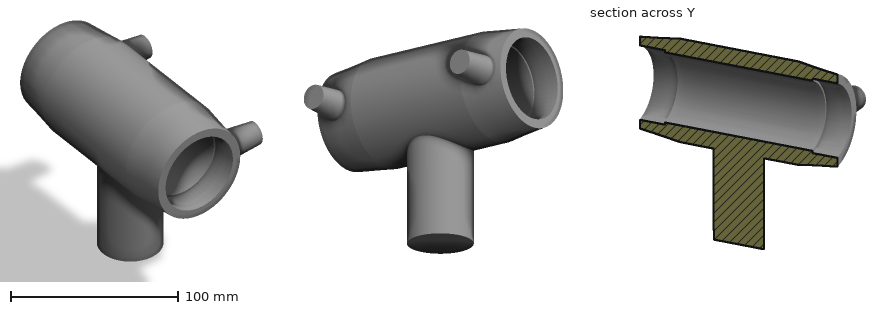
import cadquery as cq
import math

SLEEVE_LENGTH = 139.0
SLEEVE_DIAMETER = 68.0
SLEEVE_END_DIAMETER = 61.0
END_TAPER_LENGTH = 28.0

SOCKET_DIAMETER = 50.0
SOCKET_DEPTH = 17.5
MIDDLE_BORE_DIAMETER = 47.5

BRANCH_DIAMETER = 40.0
BRANCH_REACH = 90.0

POST_TIP_DIAMETER = 15.0
POST_TAPER_ANGLE = 5.0
POST_REACH = 52.0
POST_END_DISTANCE = 14.0

HALF_LENGTH = SLEEVE_LENGTH / 2
SLEEVE_RADIUS = SLEEVE_DIAMETER / 2
ROOT_DISTANCE = (SLEEVE_RADIUS + SOCKET_DIAMETER / 2) / 2


def x_cylinder(diameter, start, length):
    """Solid cylinder on the X axis, running toward +X from start."""
    return cq.Workplane("YZ", origin=(start, 0, 0)).circle(diameter / 2).extrude(length)


def sleeve_body():
    """Solid sleeve with a cone at each end."""
    end_radius = SLEEVE_END_DIAMETER / 2
    taper_start = HALF_LENGTH - END_TAPER_LENGTH
    profile = [
        (-HALF_LENGTH, 0),
        (-HALF_LENGTH, end_radius),
        (-taper_start, SLEEVE_RADIUS),
        (taper_start, SLEEVE_RADIUS),
        (HALF_LENGTH, end_radius),
        (HALF_LENGTH, 0),
    ]
    return cq.Workplane("XY").polyline(profile).close().revolve(360, (0, 0, 0), (1, 0, 0))


def branch():
    """Stem along -Z that starts on the sleeve axis."""
    return cq.Workplane("XY").circle(BRANCH_DIAMETER / 2).extrude(-BRANCH_REACH)


def terminal_post(x):
    """Post along +Y at the given X, widening from its tip to its root."""
    length = POST_REACH - ROOT_DISTANCE
    tip_radius = POST_TIP_DIAMETER / 2
    root_radius = tip_radius + length * math.tan(math.radians(POST_TAPER_ANGLE))
    cone = cq.Solid.makeCone(
        root_radius, tip_radius, length, cq.Vector(x, ROOT_DISTANCE, 0), cq.Vector(0, 1, 0)
    )
    return cq.Workplane(cone)


def stepped_bore():
    """Through bore with a socket at each end."""
    bore = x_cylinder(MIDDLE_BORE_DIAMETER, -HALF_LENGTH, SLEEVE_LENGTH)
    for socket_start in (-HALF_LENGTH, HALF_LENGTH - SOCKET_DEPTH):
        bore = bore.union(x_cylinder(SOCKET_DIAMETER, socket_start, SOCKET_DEPTH))
    return bore


result = sleeve_body().union(branch())
for side in (-1, 1):
    result = result.union(terminal_post(side * (HALF_LENGTH - POST_END_DISTANCE)))
result = result.cut(stepped_bore())